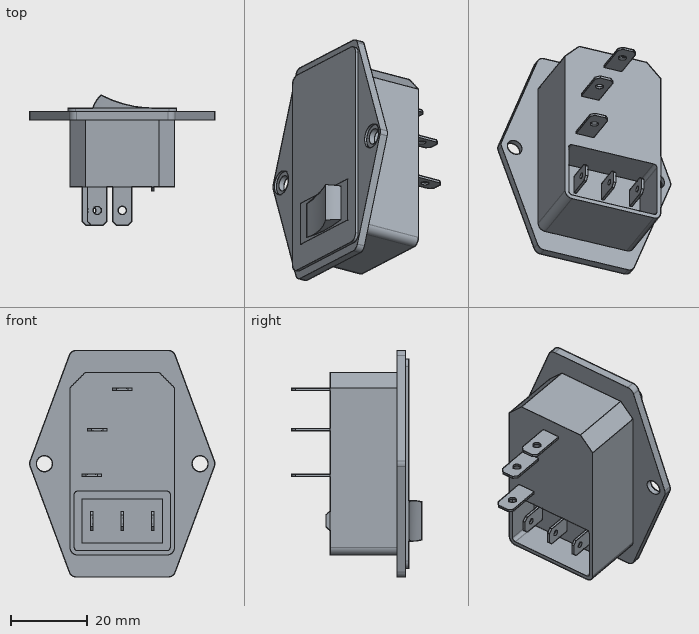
import cadquery as cq
import math


FLANGE_HEIGHT = 59.0
FLANGE_SHARP_WIDTH = 48.49
FLANGE_TOP_WIDTH = 26.6
FLANGE_THICKNESS = 2.25
FLANGE_CORNER_RADIUS = 2.0
MOUNT_HOLE_DIAMETER = 4.1
MOUNT_HOLE_SPACING = 40.5
MOUNT_RECESS_DIAMETER = 6.4
MOUNT_RECESS_DEPTH = 0.65

BEZEL_WIDTH = 28.3
BEZEL_HEIGHT = 54.6
BEZEL_THICKNESS = 0.85
BEZEL_CORNER_RADIUS = 2.0
BEZEL_FRONT_Y = FLANGE_THICKNESS + BEZEL_THICKNESS

BOX_WIDTH = 27.2
BOX_HEIGHT = 47.5
BOX_DEPTH = 17.4
BOX_CHAMFER = 4.0
BOX_CORNER_RADIUS = 2.0

POCKET_WIDTH = 25.0
POCKET_HEIGHT = 15.5
POCKET_CORNER_RADIUS = 0.9
SWITCH_Z = -14.87

BLADE_PLACES = [(0.0, 19.35), (-6.5, 8.85), (-7.95, -3.05)]
BLADE_LENGTH = 10.0
BLADE_HOLE_DIAMETER = 2.1
BLADE_HOLE_FROM_TIP = 3.9

BLADE_WIDTH = 5.0
BLADE_THICKNESS = 0.65
BLADE_TIP_CHAMFER = 1.0

SWITCH_WIDTH = 21.0
SWITCH_HEIGHT = 11.5
SWITCH_RECESS = 6.5
SWITCH_REAR_Y = SWITCH_RECESS - BOX_DEPTH

TERMINAL_COUNT = 3
TERMINAL_PITCH = 7.95
TERMINAL_OVERHANG = 1.1
TERMINAL_LENGTH = SWITCH_RECESS + TERMINAL_OVERHANG
TERMINAL_HOLE_DIAMETER = 1.5
TERMINAL_HOLE_FROM_TIP = 2.75

ROCKER_RADIUS = 8.1
ROCKER_PIVOT_Y = BEZEL_FRONT_Y - 2.55
ROCKER_HIGH_ANGLE = 132.7
ROCKER_LOW_ANGLE = 18.8
ROCKER_HOLLOW = 0.8
ROCKER_WIDTH = 10.6
ROCKER_END_WIDTH = 9.25


def block(width, height, y_rear, y_front, z_center=0.0):
    """Box centered on X = 0, between two Y planes."""
    depth = y_front - y_rear
    return cq.Workplane("XY").box(width, depth, height).translate((0, (y_rear + y_front) / 2, z_center))


def flange():
    half_height = FLANGE_HEIGHT / 2
    half_top = FLANGE_TOP_WIDTH / 2
    sharp_tip = FLANGE_SHARP_WIDTH / 2
    corners = [
        (sharp_tip, 0),
        (half_top, half_height),
        (-half_top, half_height),
        (-sharp_tip, 0),
        (-half_top, -half_height),
        (half_top, -half_height),
    ]
    plate = cq.Workplane("XZ").polyline(corners).close().extrude(-FLANGE_THICKNESS)
    plate = plate.edges("|Y").fillet(FLANGE_CORNER_RADIUS)
    hole_places = [(-MOUNT_HOLE_SPACING / 2, 0), (MOUNT_HOLE_SPACING / 2, 0)]
    rear = cq.Workplane("XZ").pushPoints(hole_places)
    holes = rear.circle(MOUNT_HOLE_DIAMETER / 2).extrude(-FLANGE_THICKNESS)
    front = cq.Workplane("XZ", origin=(0, FLANGE_THICKNESS, 0)).pushPoints(hole_places)
    recesses = front.circle(MOUNT_RECESS_DIAMETER / 2).extrude(MOUNT_RECESS_DEPTH)
    return plate.cut(holes).cut(recesses)


def bezel():
    plate = block(BEZEL_WIDTH, BEZEL_HEIGHT, FLANGE_THICKNESS, BEZEL_FRONT_Y)
    return plate.edges("|Y").fillet(BEZEL_CORNER_RADIUS)


def rear_box():
    box = block(BOX_WIDTH, BOX_HEIGHT, -BOX_DEPTH, 0)
    box = box.edges("|Y and >Z").chamfer(BOX_CHAMFER)
    box = box.edges("|Y and <Z").fillet(BOX_CORNER_RADIUS)
    pocket = block(POCKET_WIDTH, POCKET_HEIGHT, -BOX_DEPTH, 0, SWITCH_Z)
    return box.cut(pocket.edges("|Y").fillet(POCKET_CORNER_RADIUS))


def blade(length, hole_diameter, hole_from_tip):
    """Flat blade lying across Z, from its root at the origin toward -Y."""
    strip = cq.Workplane("XY").box(BLADE_WIDTH, length, BLADE_THICKNESS).translate((0, -length / 2, 0))
    strip = strip.edges("|Z and <Y").chamfer(BLADE_TIP_CHAMFER)
    hole = cq.Workplane("XY").center(0, hole_from_tip - length).circle(hole_diameter / 2)
    return strip.cut(hole.extrude(BLADE_THICKNESS, both=True))


def make_housing():
    body = flange().union(bezel()).union(rear_box())
    body = body.cut(block(SWITCH_WIDTH, SWITCH_HEIGHT, 0, BEZEL_FRONT_Y, SWITCH_Z))
    contact = blade(BLADE_LENGTH, BLADE_HOLE_DIAMETER, BLADE_HOLE_FROM_TIP)
    for x, z in BLADE_PLACES:
        body = body.union(contact.translate((x, -BOX_DEPTH, z)))
    return body


def rocker_rim(angle):
    """Point on the rocker's round rim, in X and Y."""
    turn = math.radians(angle)
    return (ROCKER_RADIUS * math.cos(turn), ROCKER_PIVOT_Y + ROCKER_RADIUS * math.sin(turn))


def rocker():
    high_tip = rocker_rim(ROCKER_HIGH_ANGLE)
    low_tip = rocker_rim(ROCKER_LOW_ANGLE)
    middle_angle = math.radians((ROCKER_HIGH_ANGLE + ROCKER_LOW_ANGLE) / 2)
    half_spread = math.radians((ROCKER_HIGH_ANGLE - ROCKER_LOW_ANGLE) / 2)
    hollow_radius = ROCKER_RADIUS * math.cos(half_spread) - ROCKER_HOLLOW
    hollow_middle = (
        hollow_radius * math.cos(middle_angle),
        ROCKER_PIVOT_Y + hollow_radius * math.sin(middle_angle),
    )
    sector = (
        cq.Workplane("XY")
        .moveTo(*rocker_rim(180))
        .threePointArc(rocker_rim((180 + ROCKER_HIGH_ANGLE) / 2), high_tip)
        .threePointArc(hollow_middle, low_tip)
        .threePointArc(rocker_rim(ROCKER_LOW_ANGLE / 2), rocker_rim(0))
        .close()
        .extrude(ROCKER_WIDTH, both=True)
    )
    half_end = ROCKER_END_WIDTH / 2
    sides = (
        cq.Workplane("XZ")
        .moveTo(-ROCKER_RADIUS, -half_end)
        .threePointArc((0, -ROCKER_WIDTH / 2), (ROCKER_RADIUS, -half_end))
        .lineTo(ROCKER_RADIUS, half_end)
        .threePointArc((0, ROCKER_WIDTH / 2), (-ROCKER_RADIUS, half_end))
        .close()
        .extrude(2 * ROCKER_RADIUS, both=True)
    )
    return sector.intersect(sides).translate((0, 0, SWITCH_Z))


def make_switch():
    body = block(SWITCH_WIDTH, SWITCH_HEIGHT, SWITCH_REAR_Y, BEZEL_FRONT_Y, SWITCH_Z).union(rocker())
    terminal = blade(TERMINAL_LENGTH, TERMINAL_HOLE_DIAMETER, TERMINAL_HOLE_FROM_TIP)
    terminal = terminal.rotate((0, 0, 0), (0, 1, 0), 90)
    for index in range(TERMINAL_COUNT):
        x = (index - (TERMINAL_COUNT - 1) / 2) * TERMINAL_PITCH
        body = body.union(terminal.translate((x, SWITCH_REAR_Y, SWITCH_Z)))
    return body


housing = make_housing()
switch = make_switch()

result = cq.Compound.makeCompound([housing.val(), switch.val()])